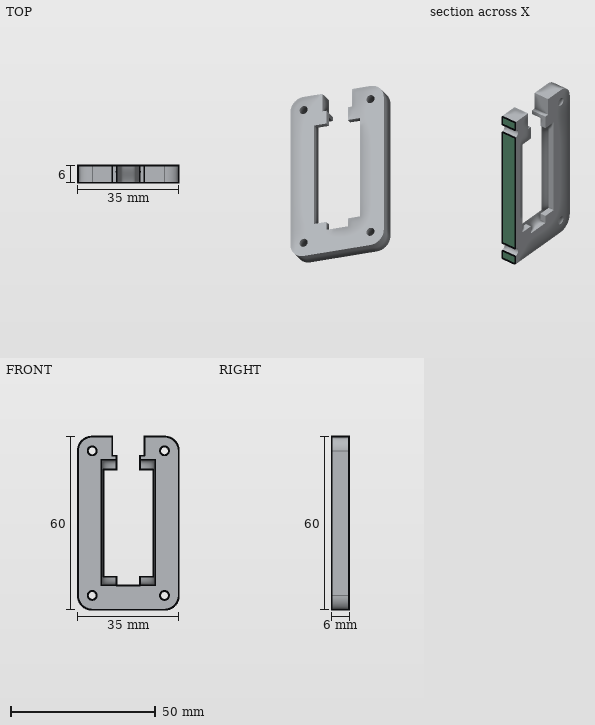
import cadquery as cq

width = 35.0
thickness = 6
height = 60
corner_radius = 5.0
hole_diameter = 3

recess_width = 18.7
recess_bottom = 8.45
recess_top = height - 8.1
recess_depth = 3.8

window_width = 17.15
window_bottom = 11.45
window_top = height - 11.45

channel_width = 8.05
notch_width = 11.05
notch_depth = 6.6


def centered_block(block_width, depth, bottom, top):
    """Block centered on X, reaching from the front face to the given depth."""
    return cq.Workplane("XY").box(
        block_width, depth, top - bottom, centered=(True, False, False)
    ).translate((0, 0, bottom))


plate = centered_block(width, thickness, 0, height).edges("|Y").fillet(corner_radius)
hole_x = width / 2 - corner_radius
hole_centers = [
    (x, z)
    for x in (-hole_x, hole_x)
    for z in (corner_radius, height - corner_radius)
]
holes = (
    cq.Workplane("XZ")
    .pushPoints(hole_centers)
    .circle(hole_diameter / 2)
    .extrude(-thickness)
)

recess = centered_block(recess_width, recess_depth, recess_bottom, recess_top)
window = centered_block(window_width, thickness, window_bottom, window_top)
channel = centered_block(channel_width, thickness, recess_bottom, height)
notch = centered_block(notch_width, thickness, height - notch_depth, height)

result = plate.cut(holes).cut(recess).cut(window).cut(channel).cut(notch)